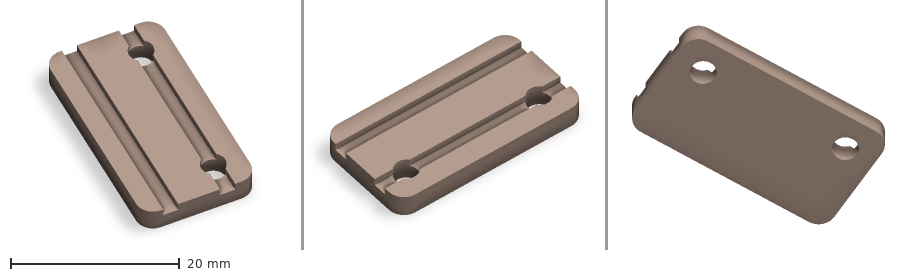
import cadquery as cq

length = 28.0
width = 15.0
thickness = 3.0
corner_radius = 2.2

groove_width = 2.0
groove_depth = 1.0
rear_groove_y = 3.5
front_groove_y = -4.0

hole_diameter = 3.2
hole_spacing = 20.0


def make_plate():
    """Flat plate with rounded vertical corners, resting on Z = 0."""
    plate = cq.Workplane("XY").box(length, width, thickness, centered=(True, True, False))
    return plate.edges("|Z").fillet(corner_radius)


def make_groove(center_y):
    """Cutter for one groove, open at both ends of the plate."""
    return (
        cq.Workplane("XY", origin=(0, center_y, thickness - groove_depth))
        .rect(length, groove_width)
        .extrude(groove_depth)
    )


def make_holes():
    """Cutters for the pair of through holes."""
    return (
        cq.Workplane("XY")
        .pushPoints([(side * hole_spacing / 2, rear_groove_y) for side in (-1, 1)])
        .circle(hole_diameter / 2)
        .extrude(thickness)
    )


result = make_plate()
for groove_y in (rear_groove_y, front_groove_y):
    result = result.cut(make_groove(groove_y))
result = result.cut(make_holes())